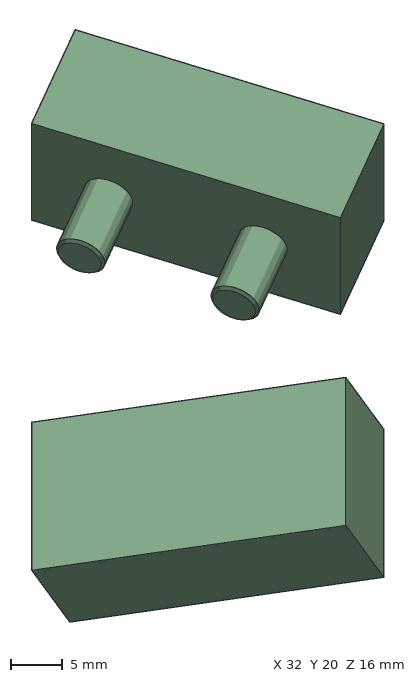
import cadquery as cq

block_length = 32.0
block_depth = 12.0
block_height = 16.0

pin_diameter = 5.0
pin_length = 8.0
pin_tip_chamfer = 0.3
pin_spacing = block_length / 2


def make_block():
    """Plain block, centred on X and Z, with its front face on Y = 0."""
    return cq.Workplane("XY").box(
        block_length, block_depth, block_height, centered=(True, False, True)
    )


def make_pin(x_position):
    """Round pin pointing along -Y, with a chamfered free end."""
    return (
        cq.Workplane("XZ")
        .center(x_position, 0)
        .circle(pin_diameter / 2)
        .extrude(pin_length)
        .faces("<Y")
        .chamfer(pin_tip_chamfer)
    )


block = make_block()

pins = []
for side in (-1, 1):
    pins.append(make_pin(side * pin_spacing / 2).val())

result = cq.Compound.makeCompound([block.val(), *pins])